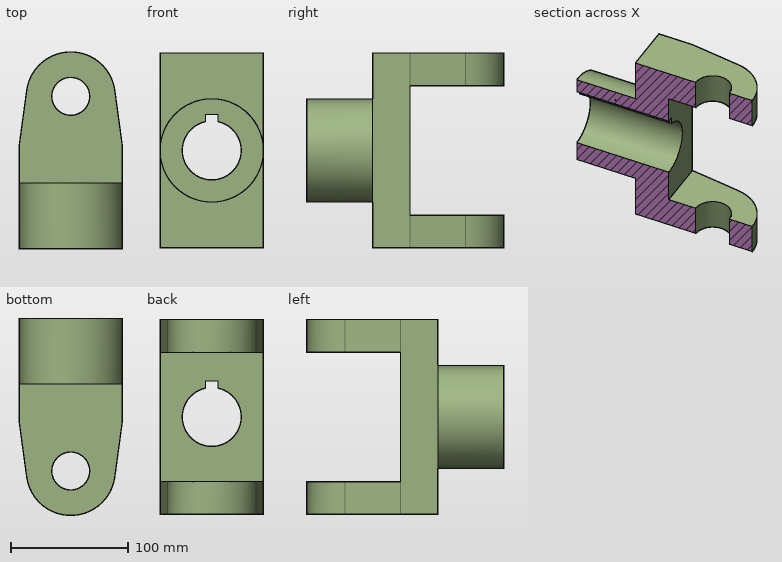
import cadquery as cq
import math

width = 88.0
height = 166.0
length = 167.9

hub_diameter = width
hub_length = 56.0
bore_diameter = 50.0
key_width = 10.4
key_top = 30.4

plate_thickness = 32.0
arm_thickness = 28.0
arm_end_radius = 38.0
pin_diameter = 32.0

plate_back = hub_length + plate_thickness
pin_y = length - arm_end_radius


def fork_outline():
    """Plan of plate and arm: straight sides, then tangent tapers to a round end."""
    half_width = width / 2
    rise = pin_y - plate_back
    corner_distance = math.hypot(half_width, rise)
    tangent_angle = math.acos(arm_end_radius / corner_distance) - math.atan2(rise, half_width)
    tangent_x = arm_end_radius * math.cos(tangent_angle)
    tangent_y = pin_y + arm_end_radius * math.sin(tangent_angle)
    return (
        cq.Workplane("XY")
        .workplane(offset=-height / 2)
        .moveTo(-half_width, hub_length)
        .lineTo(half_width, hub_length)
        .lineTo(half_width, plate_back)
        .lineTo(tangent_x, tangent_y)
        .threePointArc((0, length), (-tangent_x, tangent_y))
        .lineTo(-half_width, plate_back)
        .close()
    )


def fork():
    """Cross plate with two arms and a pin hole through both arms."""
    gap_length = length - plate_back
    gap = cq.Workplane("XY").box(width, gap_length, height - 2 * arm_thickness)
    gap = gap.translate((0, plate_back + gap_length / 2, 0))
    pin_hole = (
        cq.Workplane("XY")
        .center(0, pin_y)
        .circle(pin_diameter / 2)
        .extrude(height / 2, both=True)
    )
    return fork_outline().extrude(height).cut(gap).cut(pin_hole)


def hub():
    """Round hub that meets the front of the cross plate."""
    return cq.Workplane("XZ").circle(hub_diameter / 2).extrude(-hub_length)


def keyed_bore():
    """Bore and keyway running through the hub and the cross plate."""
    bore = cq.Workplane("XZ").circle(bore_diameter / 2).extrude(-plate_back)
    keyway = (
        cq.Workplane("XZ")
        .center(0, key_top / 2)
        .rect(key_width, key_top)
        .extrude(-plate_back)
    )
    return bore.union(keyway)


result = fork().union(hub()).cut(keyed_bore())